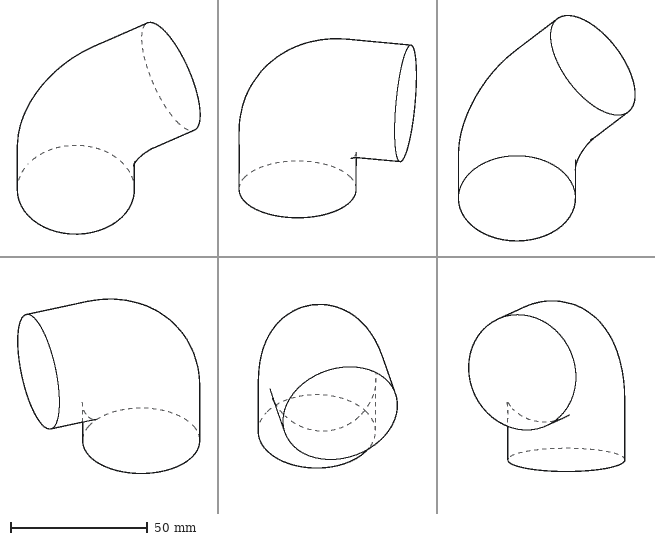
import math

import cadquery as cq

overall_length = 61.8
outer_diameter = 43.0
collar_length = 15.9
back_arc_radius = 37.1
bend_section_count = 13

outer_radius = outer_diameter / 2
axis_offset = overall_length - outer_radius
bend_radius = axis_offset - collar_length

throat_radius = bend_radius - outer_radius
back_distance = overall_length - collar_length
back_arc_offset = back_distance - back_arc_radius


def distance_to_back(angle):
    """Distance from the bend centre to the back, which is straight, then an arc, then straight."""
    cosine = math.cos(angle)
    sine = math.sin(angle)
    if back_distance * min(cosine, sine) <= back_arc_offset * max(cosine, sine):
        return back_distance / max(cosine, sine)
    along = back_arc_offset * (cosine + sine)
    across = back_arc_offset * (cosine - sine)
    return along + math.sqrt(back_arc_radius**2 - across**2)


def bend_section(angle):
    """Elliptical section between throat and back, turned from the lower collar by the angle."""
    back = distance_to_back(angle)
    middle = (throat_radius + back) / 2
    half_depth = (back - throat_radius) / 2
    cosine = math.cos(angle)
    sine = math.sin(angle)
    center = (0, bend_radius - middle * cosine, collar_length + middle * sine)
    plane = cq.Plane(origin=center, xDir=(0, -cosine, sine), normal=(0, sine, cosine))
    return cq.Workplane(plane).ellipse(half_depth, outer_radius).wire().val()


def make_bend():
    """Smooth loft turning from +Z to +Y."""
    step = math.pi / 2 / (bend_section_count - 1)
    sections = [bend_section(index * step) for index in range(bend_section_count)]
    return cq.Workplane(cq.Solid.makeLoft(sections))


def make_lower_collar():
    """Vertical collar ending at the bottom face."""
    return cq.Workplane("XY").circle(outer_radius).extrude(collar_length)


def make_rear_collar():
    """Horizontal collar ending at the +Y face."""
    return (
        cq.Workplane("XZ", origin=(0, bend_radius, axis_offset))
        .circle(outer_radius)
        .extrude(-collar_length)
    )


result = make_lower_collar().union(make_bend()).union(make_rear_collar())